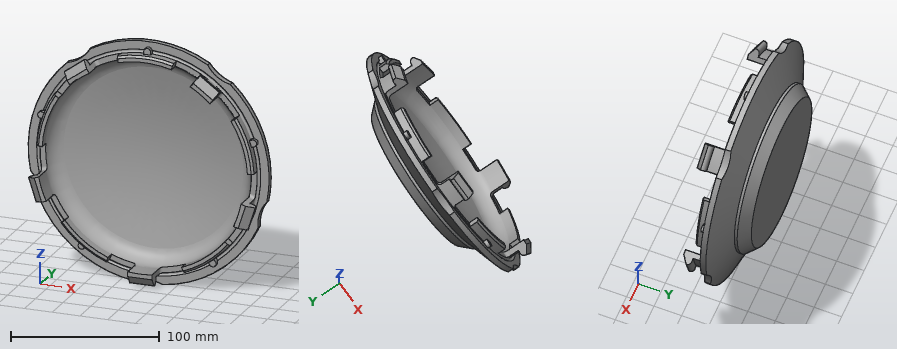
import cadquery as cq
import math


rim_radius = 86.9
rim_thickness = 4.2
step_radius = 60.6
cone_top = 14.0
step_top = 16.2
crown_radius = 53.7
crown_top = 23.6

bore_radius = 74.4
bore_end_height = -3.0
floor_radius = 64.8
floor_edge_height = 9.7
floor_centre_height = 17.0
wall_run = bore_radius - floor_radius
wall_rise = floor_edge_height - bore_end_height
wall_curve_radius = (wall_run**2 + wall_rise**2) / (2 * wall_run)

collar_radius = 78.4
collar_height = 0.3
groove_radius = 80.8
groove_half_width = (groove_radius - collar_radius) / 2
groove_middle = collar_radius + groove_half_width

collar_face_rise = -collar_height - bore_end_height
wall_curve_reach = math.sqrt(wall_curve_radius**2 - collar_face_rise**2)
collar_inner_radius = bore_radius - wall_curve_radius + wall_curve_reach

repeat_count = 5
repeat_angle = 360 / repeat_count

segment_angle = 30.0
segment_height = 7.1
segment_chamfer_width = 1.5
segment_chamfer_height = 1.4

pin_radius = 2.5
pin_outer_reach = 82.9
pin_height = 2.8

clip_width = 17.5
clip_length = crown_top - 40.0
clip_root_fillet = 2.5
hook_shoulder = -9.2
hook_tip_level = -12.5
hook_tip_reach = 83.0
hook_shoulder_reach = 80.5
hook_end_reach = 77.3

scallop_half_width = 10.0
scallop_bottom = 84.1


def revolve_about_axis(profile, angle=360):
    """Turn a closed (radius, height) profile around the Y axis."""
    return profile.close().revolve(angle, (0, 0), (0, 1))


def around_axis(shape):
    """Copies of a shape, evenly spaced around the Y axis."""
    return [shape.rotate((0, 0, 0), (0, 1, 0), i * repeat_angle) for i in range(repeat_count)]


def make_body():
    """Solid cap with a stepped crown, a collar and a groove, before it is hollowed."""
    return revolve_about_axis(
        cq.Workplane("XY")
        .moveTo(0, crown_top)
        .lineTo(crown_radius, crown_top)
        .lineTo(step_radius, step_top)
        .lineTo(step_radius, cone_top)
        .lineTo(rim_radius, rim_thickness)
        .lineTo(rim_radius, 0)
        .lineTo(groove_radius, 0)
        .threePointArc((groove_middle, groove_half_width), (collar_radius, 0))
        .lineTo(collar_radius, -collar_height)
        .lineTo(0, -collar_height)
    )


def make_cavity():
    """Straight bore that curves in to a domed floor; it also shapes the collar and clips."""
    dome_sag = floor_centre_height - floor_edge_height
    dome_radius = (floor_radius**2 + dome_sag**2) / (2 * dome_sag)
    return revolve_about_axis(
        cq.Workplane("XY")
        .moveTo(0, clip_length)
        .lineTo(bore_radius, clip_length)
        .lineTo(bore_radius, bore_end_height)
        .tangentArcPoint((floor_radius, floor_edge_height), relative=False)
        .radiusArc((0, floor_centre_height), -dome_radius)
    )


def make_scallop():
    """Cutter with a round end that bites into the rim edge on the -Z side."""
    corner_reach = math.sqrt(rim_radius**2 - scallop_half_width**2)
    depth = corner_reach - scallop_bottom
    radius = (scallop_half_width**2 + depth**2) / (2 * depth)
    return (
        cq.Workplane("XZ")
        .center(0, -scallop_bottom - radius)
        .circle(radius)
        .extrude(-cone_top)
    )


def make_segment():
    """Raised collar segment on the +Z side, chamfered along its outer edge."""
    segment = revolve_about_axis(
        cq.Workplane("XY")
        .moveTo(collar_inner_radius, -collar_height)
        .lineTo(collar_radius, -collar_height)
        .lineTo(collar_radius, segment_chamfer_height - segment_height)
        .lineTo(collar_radius - segment_chamfer_width, -segment_height)
        .lineTo(collar_inner_radius, -segment_height),
        segment_angle,
    )
    return segment.rotate((0, 0, 0), (0, 1, 0), -90 - segment_angle / 2)


def make_pin():
    """Round-ended pin that bridges the groove on the +Z side."""
    pin_centre = pin_outer_reach - pin_radius
    pin_base = 2 * groove_half_width
    pin_root = (collar_inner_radius + collar_radius) / 2
    return (
        cq.Workplane("XZ", origin=(0, pin_base, 0))
        .moveTo(-pin_radius, pin_root)
        .lineTo(-pin_radius, pin_centre)
        .threePointArc((0, pin_outer_reach), (pin_radius, pin_centre))
        .lineTo(pin_radius, pin_root)
        .close()
        .extrude(pin_base + pin_height)
    )


def make_clip():
    """Snap clip on the -Z side: a curved blade with a flared root and a straight hook."""
    half_width = clip_width / 2
    root_half_width = half_width + clip_root_fillet
    fillet_end = -collar_height - clip_root_fillet
    blade_wall = revolve_about_axis(
        cq.Workplane("XY")
        .moveTo(floor_radius, -collar_height)
        .lineTo(collar_radius, -collar_height)
        .lineTo(collar_radius, hook_shoulder)
        .lineTo(floor_radius, hook_shoulder)
    )
    blade = (
        cq.Workplane("XY")
        .moveTo(-root_half_width, -collar_height)
        .radiusArc((-half_width, fillet_end), clip_root_fillet)
        .lineTo(-half_width, clip_length)
        .lineTo(half_width, clip_length)
        .lineTo(half_width, fillet_end)
        .radiusArc((root_half_width, -collar_height), clip_root_fillet)
        .close()
        .extrude(-rim_radius)
        .intersect(blade_wall)
    )
    hook = (
        cq.Workplane("ZY", origin=(half_width, 0, 0))
        .moveTo(-floor_radius, hook_shoulder)
        .lineTo(-hook_shoulder_reach, hook_shoulder)
        .tangentArcPoint((-hook_tip_reach, hook_tip_level), relative=False)
        .lineTo(-hook_end_reach, clip_length)
        .lineTo(-floor_radius, clip_length)
        .close()
        .extrude(clip_width)
    )
    return blade.union(hook)


result = make_body()
for scallop in around_axis(make_scallop()):
    result = result.cut(scallop)
for feature in (make_pin(), make_clip()):
    for copy in around_axis(feature):
        result = result.union(copy)
result = result.cut(make_cavity())
for segment in around_axis(make_segment()):
    result = result.union(segment)